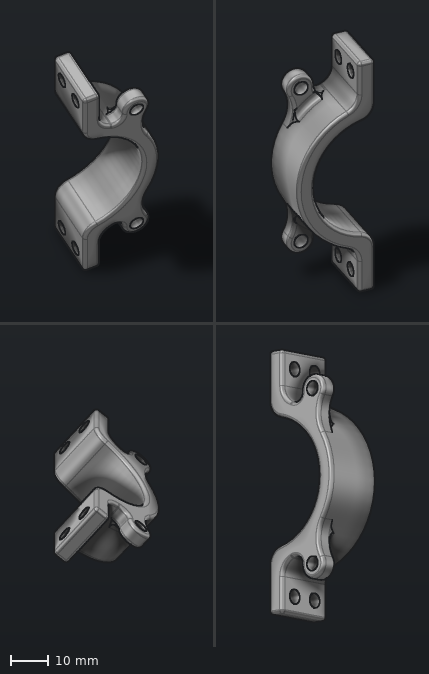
import cadquery as cq
import math

WIDTH = 18.0
HEIGHT = 72.31
THICKNESS = 5.0
BORE_RADIUS = 18.0
BEND_RADIUS = 5.0
EDGE_RADIUS = 1.0

BOLT_DIAMETER = 4.0
BOLT_SPACING = 8.0
BOLT_END_DISTANCE = 5.0

LUG_CENTER = (16.0, 24.0)
LUG_RADIUS = 4.0
LUG_HOLE_DIAMETER = 4.0
LUG_THICKNESS = 5.0
LUG_INNER_BLEND = 2.5
LUG_OUTER_BLEND = 10.0
FOOT_RADIUS = 2.0
FOOT_TOE_INSET = 1.0
FOOT_HEEL_INSET = 0.05

OUTER_RADIUS = BORE_RADIUS + THICKNESS
ROOT_RADIUS = BORE_RADIUS + THICKNESS / 2
HALF_HEIGHT = HEIGHT / 2
HALF_WIDTH = WIDTH / 2
LUG_FACE_X = HALF_WIDTH - LUG_THICKNESS
BOLT_Z = HALF_HEIGHT - BOLT_END_DISTANCE


def polar(radius, angle):
    return (radius * math.cos(angle), radius * math.sin(angle))


def angle_of(point):
    return math.atan2(point[1], point[0])


def toward(start, target, distance):
    """Point at the given distance from start in the direction of target."""
    fraction = distance / math.dist(start, target)
    return (
        start[0] + (target[0] - start[0]) * fraction,
        start[1] + (target[1] - start[1]) * fraction,
    )


def arc_middle(center, start, end):
    """Middle point of the short arc about center from start to end."""
    chord_middle = toward(start, end, math.dist(start, end) / 2)
    return toward(center, chord_middle, math.dist(center, start))


def below(point):
    """Mirror image of a point in the lower half."""
    return (point[0], -point[1])


def bend_points(ring_radius, flange_y):
    """Flange end, middle and ring end of the bend joining a flange face to the ring."""
    center_y = flange_y + BEND_RADIUS
    center_z = math.sqrt((ring_radius + BEND_RADIUS) ** 2 - center_y**2)
    center = (center_y, center_z)
    flange_end = (flange_y, center_z)
    ring_end = polar(ring_radius, angle_of(center))
    return flange_end, arc_middle(center, flange_end, ring_end), ring_end


def make_strap():
    """Half ring with a flat flange at each end."""
    front_end, front_middle, bore_end = bend_points(BORE_RADIUS, 0)
    back_end, back_middle, ring_end = bend_points(OUTER_RADIUS, THICKNESS)
    return (
        cq.Workplane("YZ", origin=(-HALF_WIDTH, 0, 0))
        .moveTo(0, HALF_HEIGHT)
        .lineTo(*front_end)
        .threePointArc(front_middle, bore_end)
        .threePointArc((BORE_RADIUS, 0), below(bore_end))
        .threePointArc(below(front_middle), below(front_end))
        .lineTo(0, -HALF_HEIGHT)
        .lineTo(THICKNESS, -HALF_HEIGHT)
        .lineTo(*below(back_end))
        .threePointArc(below(back_middle), below(ring_end))
        .threePointArc((OUTER_RADIUS, 0), ring_end)
        .threePointArc(back_middle, back_end)
        .lineTo(THICKNESS, HALF_HEIGHT)
        .close()
        .extrude(WIDTH)
    )


def blend_center(radius, side):
    """Center of the arc that touches both the lug eye and the ring from outside."""
    eye_distance = math.hypot(*LUG_CENTER)
    ring_reach = OUTER_RADIUS + radius
    eye_reach = LUG_RADIUS + radius
    cosine = (ring_reach**2 + eye_distance**2 - eye_reach**2) / (2 * ring_reach * eye_distance)
    return polar(ring_reach, angle_of(LUG_CENTER) + side * math.acos(cosine))


INNER_BLEND_CENTER = blend_center(LUG_INNER_BLEND, 1)
OUTER_BLEND_CENTER = blend_center(LUG_OUTER_BLEND, -1)
INNER_ANGLE = angle_of(INNER_BLEND_CENTER)
OUTER_ANGLE = angle_of(OUTER_BLEND_CENTER)


def make_lug():
    """Upper lug: a round eye flowing into the ring, rounded along its -X outline."""
    inner_tip = toward(LUG_CENTER, INNER_BLEND_CENTER, LUG_RADIUS)
    outer_tip = toward(LUG_CENTER, OUTER_BLEND_CENTER, LUG_RADIUS)
    inner_end = polar(OUTER_RADIUS, INNER_ANGLE)
    outer_end = polar(OUTER_RADIUS, OUTER_ANGLE)
    crown = polar(math.hypot(*LUG_CENTER) + LUG_RADIUS, angle_of(LUG_CENTER))
    lug = (
        cq.Workplane("YZ", origin=(LUG_FACE_X, 0, 0))
        .moveTo(*outer_end)
        .threePointArc(arc_middle(OUTER_BLEND_CENTER, outer_end, outer_tip), outer_tip)
        .threePointArc(crown, inner_tip)
        .threePointArc(arc_middle(INNER_BLEND_CENTER, inner_tip, inner_end), inner_end)
        .lineTo(*polar(ROOT_RADIUS, INNER_ANGLE))
        .threePointArc(
            polar(ROOT_RADIUS, angle_of(LUG_CENTER)),
            polar(ROOT_RADIUS, OUTER_ANGLE),
        )
        .close()
        .extrude(LUG_THICKNESS)
    )
    outline = lug.faces("<X").edges("%CIRCLE").filter(
        lambda edge: not math.isclose(edge.radius(), ROOT_RADIUS)
    )
    return outline.fillet(EDGE_RADIUS)


def make_foot_end(center, blend_radius):
    """Cone that trims the foot along a lug blend, widening toward the toe of the foot."""
    length = FOOT_RADIUS + EDGE_RADIUS
    start = cq.Vector(LUG_FACE_X - FOOT_RADIUS, *center)
    cone = cq.Solid.makeCone(
        blend_radius + FOOT_TOE_INSET,
        blend_radius + FOOT_HEEL_INSET,
        length,
        start,
        cq.Vector(1, 0, 0),
    )
    return cq.Workplane(obj=cone)


def make_foot():
    """Concave fillet from the lug face down to the ring, following the ring."""
    toe_x = LUG_FACE_X - FOOT_RADIUS
    top_radius = OUTER_RADIUS + FOOT_RADIUS
    sag = FOOT_RADIUS * math.sqrt(0.5)
    foot = (
        cq.Workplane("XY")
        .moveTo(toe_x, ROOT_RADIUS)
        .lineTo(toe_x, OUTER_RADIUS)
        .threePointArc((toe_x + sag, top_radius - sag), (LUG_FACE_X, top_radius))
        .lineTo(LUG_FACE_X + EDGE_RADIUS, top_radius)
        .lineTo(LUG_FACE_X + EDGE_RADIUS, ROOT_RADIUS)
        .close()
        .revolve(math.degrees(INNER_ANGLE - OUTER_ANGLE), (0, 0, 0), (1, 0, 0))
        .rotate((0, 0, 0), (1, 0, 0), math.degrees(OUTER_ANGLE))
    )
    inner_end = make_foot_end(INNER_BLEND_CENTER, LUG_INNER_BLEND)
    outer_end = make_foot_end(OUTER_BLEND_CENTER, LUG_OUTER_BLEND)
    return foot.cut(inner_end).cut(outer_end)


def make_bolt_holes():
    """Two through holes along Y in each flange."""
    return (
        cq.Workplane("XZ")
        .rarray(BOLT_SPACING, 2 * BOLT_Z, 2, 2)
        .circle(BOLT_DIAMETER / 2)
        .extrude(-THICKNESS)
    )


def make_lug_hole():
    """Through hole along X in the eye of the upper lug."""
    return (
        cq.Workplane("YZ", origin=(LUG_FACE_X, 0, 0))
        .center(*LUG_CENTER)
        .circle(LUG_HOLE_DIAMETER / 2)
        .extrude(LUG_THICKNESS)
    )


def add_mirrored(body, upper):
    """Join an upper feature and its lower mirror image to the body."""
    return body.union(upper).union(upper.mirror("XY"))


def cut_mirrored(body, upper):
    """Cut an upper feature and its lower mirror image from the body."""
    return body.cut(upper).cut(upper.mirror("XY"))


bracket = add_mirrored(make_strap(), make_lug())
bracket = bracket.faces("<X or >X or <Z or >Z").edges().fillet(EDGE_RADIUS)
bracket = add_mirrored(bracket, make_foot())
bracket = cut_mirrored(bracket, make_lug_hole())
result = bracket.cut(make_bolt_holes())